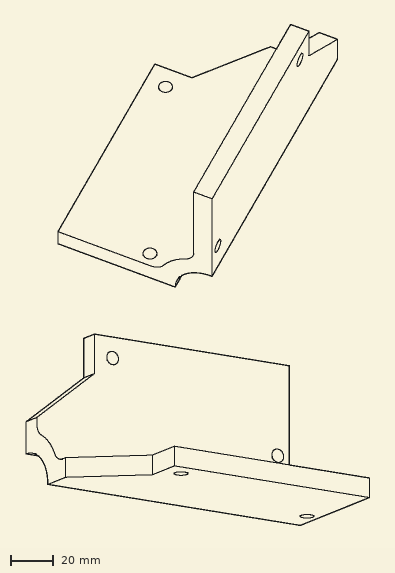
import cadquery as cq
import math

length = 139.7
flange_width = 79.3
thickness = 9.5
corner_radius = 19.0
fillet_radius = 7.5

notch_length = 31.9
notch_step = 19.1
notch_width = 44.8

hole_diameter = 6.4
hole_positions = [(10.2, 97.8), (44.4, 6.4)]

web_radius = corner_radius + thickness
blend_rise = thickness + fillet_radius
blend_reach = math.sqrt((web_radius + fillet_radius) ** 2 - blend_rise ** 2)
tangent_scale = web_radius / (web_radius + fillet_radius)
tangent_reach = blend_reach * tangent_scale
tangent_rise = blend_rise * tangent_scale
blend_angle = math.atan2(blend_rise, blend_reach)
half_turn = (math.pi / 2 - blend_angle) / 2


def from_corner(reach, rise):
    """Section point given by its distances from the outside corner."""
    return (flange_width - reach, rise)


def make_angle():
    """Extrude the L section with its rounded inside web and outside relief."""
    bend = fillet_radius * math.sin(half_turn)
    drop = fillet_radius * math.cos(half_turn)
    blend_mid = (blend_reach - bend, blend_rise - drop)
    diagonal = math.sqrt(0.5)
    web_mid = web_radius * diagonal
    relief_mid = corner_radius * diagonal
    section = (
        cq.Workplane("XZ")
        .moveTo(0, 0)
        .lineTo(0, thickness)
        .lineTo(*from_corner(blend_reach, thickness))
        .threePointArc(from_corner(*blend_mid), from_corner(tangent_reach, tangent_rise))
        .threePointArc(from_corner(web_mid, web_mid), from_corner(tangent_rise, tangent_reach))
        .threePointArc(from_corner(*reversed(blend_mid)), from_corner(thickness, blend_reach))
        .lineTo(*from_corner(thickness, flange_width))
        .lineTo(*from_corner(0, flange_width))
        .lineTo(*from_corner(0, corner_radius))
        .threePointArc(from_corner(relief_mid, relief_mid), from_corner(corner_radius, 0))
        .close()
    )
    return section.extrude(-length)


def base_flange_cuts():
    """Notch and holes of the horizontal flange, as one cutting body."""
    shoulder = length - notch_length
    notch = (
        cq.Workplane("XY")
        .polyline([(0, shoulder), (notch_step, shoulder), (notch_width, length), (0, length)])
        .close()
        .extrude(thickness)
    )
    holes = (
        cq.Workplane("XY")
        .pushPoints(hole_positions)
        .circle(hole_diameter / 2)
        .extrude(2 * thickness)
    )
    return notch.union(holes)


base_cuts = base_flange_cuts()
upright_cuts = (
    base_cuts.mirror("XY")
    .rotate((0, 0, 0), (0, 1, 0), 90)
    .translate((flange_width, 0, flange_width))
)
result = make_angle().cut(base_cuts).cut(upright_cuts)